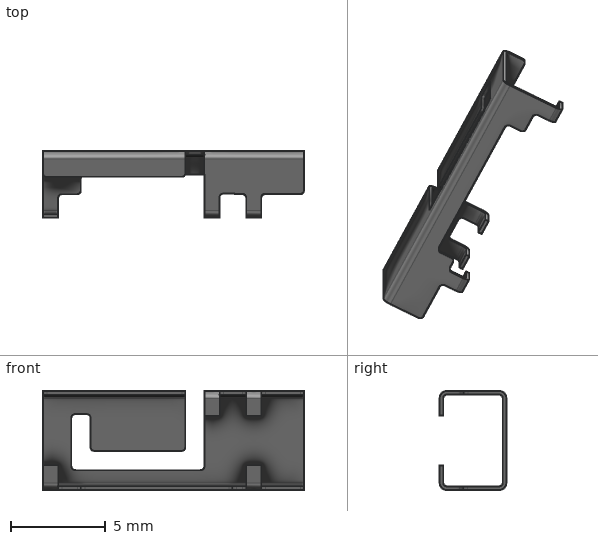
import cadquery as cq
import math


length = 13.75
depth = 3.53
height = 5.23
thickness = 0.2
bend_radius = 0.4
tab_height = 1.3
corner_radius = 0.2
mid_height = height / 2

tab_width = 0.8
middle_tab_start = 10.7
middle_tab_end = middle_tab_start + tab_width

slot_start = 1.5
slot_width = 1.0
flap_start = slot_start + slot_width
flap_end = 7.5
slot_end = flap_end + slot_width
slot_bottom = 1.06
slot_top = 4.0
flap_bottom = slot_bottom + slot_width

bottom_reach = 2.28
bottom_narrow_reach = 1.25
bottom_narrow_start = 2.0
bottom_narrow_end = 9.98
top_reach = 2.25
top_flap_reach = 1.37


def unit_vector(start, end):
    dx = end[0] - start[0]
    dy = end[1] - start[1]
    size = math.hypot(dx, dy)
    return dx / size, dy / size


def rounded_outline(plane, corners):
    """Closed outline of square corners (a, b, radius); a radius of 0 stays sharp."""
    outline = cq.Workplane(plane)
    for index, (a, b, radius) in enumerate(corners):
        back = unit_vector((a, b), corners[index - 1])
        ahead = unit_vector((a, b), corners[(index + 1) % len(corners)])
        inward = (back[0] + ahead[0], back[1] + ahead[1])
        arc_start = (a + radius * back[0], b + radius * back[1])
        arc_end = (a + radius * ahead[0], b + radius * ahead[1])
        sagitta = radius * (1 - 1 / math.sqrt(2))
        arc_middle = (a + sagitta * inward[0], b + sagitta * inward[1])
        outline = outline.moveTo(*arc_start) if index == 0 else outline.lineTo(*arc_start)
        if radius > 0:
            outline = outline.threePointArc(arc_middle, arc_end)
    return outline.close()


def bent_channel():
    """Full-length C section with lips turned inward along the front."""
    inner_radius = bend_radius - thickness
    outer = cq.Workplane("YZ").rect(depth, height).extrude(length)
    outer = outer.edges("|X").fillet(bend_radius)
    inner = cq.Workplane("YZ").rect(depth - 2 * thickness, height - 2 * thickness).extrude(length)
    inner = inner.edges("|X").fillet(inner_radius)
    tube = outer.cut(inner).translate((0, -depth / 2, mid_height))
    mouth = cq.Workplane("XY").box(
        length, bend_radius, height - 2 * tab_height, centered=(False, False, True)
    )
    return tube.cut(mouth.translate((0, -depth, mid_height)))


def bottom_blank():
    """Plan shape of the lower half: two tabs joined by a narrow strip."""
    r = corner_radius
    corners = [
        (0, 0, 0),
        (0, -depth, 0),
        (tab_width, -depth, 0),
        (tab_width, -bottom_reach, r),
        (bottom_narrow_start, -bottom_reach, r),
        (bottom_narrow_start, -bottom_narrow_reach, r),
        (bottom_narrow_end, -bottom_narrow_reach, r),
        (bottom_narrow_end, -bottom_reach, r),
        (middle_tab_start, -bottom_reach, r),
        (middle_tab_start, -depth, 0),
        (middle_tab_end, -depth, 0),
        (middle_tab_end, -bottom_reach, r),
        (length, -bottom_reach, r),
        (length, 0, 0),
    ]
    return rounded_outline("XY", corners).extrude(mid_height)


def top_flap_blank():
    """Plan shape of the upper half over the flap: a short plain flange."""
    corners = [
        (0, 0, 0),
        (0, -top_flap_reach, corner_radius),
        (flap_end, -top_flap_reach, corner_radius),
        (flap_end, 0, 0),
    ]
    return rounded_outline("XY", corners).extrude(mid_height)


def top_tab_blank():
    """Plan shape of the upper half past the slot: a flange with two tabs."""
    r = corner_radius
    corners = [
        (slot_end, 0, 0),
        (slot_end, -depth, 0),
        (slot_end + tab_width, -depth, 0),
        (slot_end + tab_width, -top_reach, r),
        (middle_tab_start, -top_reach, r),
        (middle_tab_start, -depth, 0),
        (middle_tab_end, -depth, 0),
        (middle_tab_end, -top_reach, r),
        (length, -top_reach, r),
        (length, 0, 0),
    ]
    return rounded_outline("XY", corners).extrude(mid_height)


def web_slot():
    """J-shaped slot that frees the flap and runs out through the top of the web."""
    r = corner_radius
    corners = [
        (slot_start, slot_bottom, r),
        (slot_end, slot_bottom, r),
        (slot_end, height, 0),
        (flap_end, height, 0),
        (flap_end, flap_bottom, r),
        (flap_start, flap_bottom, r),
        (flap_start, slot_top, r),
        (slot_start, slot_top, r),
    ]
    return rounded_outline("XZ", corners).extrude(bend_radius)


top_blank = top_flap_blank().union(top_tab_blank()).translate((0, 0, mid_height))
blank = bottom_blank().union(top_blank)
result = bent_channel().intersect(blank).cut(web_slot()).clean()